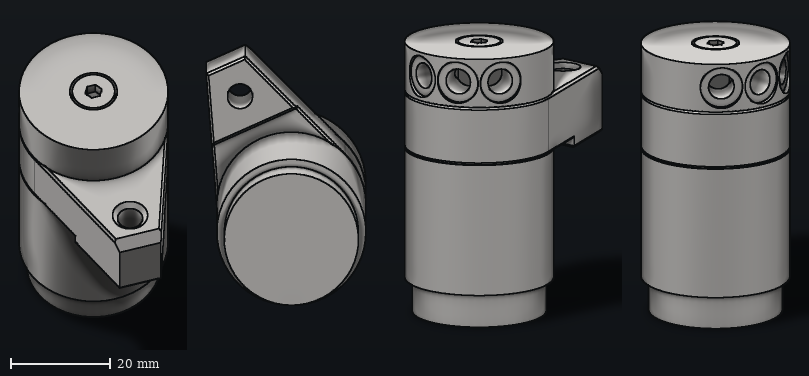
import cadquery as cq
import math

outer_radius = 15.0
spigot_radius = 13.5
spigot_height = 7.0
barrel_height = 27.0
arm_thickness = 12.0
cap_height = 10.0

barrel_bottom = spigot_height
arm_bottom = barrel_bottom + barrel_height
cap_bottom = arm_bottom + arm_thickness
cap_top = cap_bottom + cap_height

arm_reach = 32.0
taper_angle = 20
edge_chamfer = 0.5
end_chamfer = 2.0
lug_start = 18.0
lug_drop = 2.0
arm_hole_x = 25.0
arm_hole_radius = 2.5
countersink_radius = 3.5
countersink_angle = 90

middle_port_angle = 205
port_spacing = 35
port_count = 3
port_radius = 2.6
port_inner_end = 7.0
seat_radius = 4.25
seat_distance = 14

head_radius = 4.25
head_height = 3.5
head_recess_radius = 4.75
shank_radius = 2.5
shank_length = 30.0
hex_flats = 3.0
hex_depth = 2.25
hex_turn = 30

head_bottom = cap_top - head_height
shank_bottom = head_bottom - shank_length


def cylinder(radius, bottom, top):
    """Upright cylinder on the Z axis."""
    return cq.Workplane("XY").workplane(offset=bottom).circle(radius).extrude(top - bottom)


def cut_for_shank(body):
    """Bore the body to fit the screw shank."""
    return body.cut(cylinder(shank_radius, shank_bottom, head_bottom))


def make_base():
    """Barrel with a narrower spigot below it."""
    spigot = cylinder(spigot_radius, 0, barrel_bottom)
    barrel = cylinder(outer_radius, barrel_bottom, arm_bottom)
    return cut_for_shank(spigot.union(barrel))


def arm_blank(bottom, top):
    """Teardrop plate: a round end whose tangents taper to a flat end."""
    taper = math.radians(taper_angle)
    tangent_x = outer_radius * math.sin(taper)
    tangent_y = outer_radius * math.cos(taper)
    end_half_width = tangent_y - (arm_reach - tangent_x) * math.tan(taper)
    return (
        cq.Workplane("XY")
        .workplane(offset=bottom)
        .moveTo(arm_reach, -end_half_width)
        .lineTo(arm_reach, end_half_width)
        .lineTo(tangent_x, tangent_y)
        .threePointArc((-outer_radius, 0), (tangent_x, -tangent_y))
        .close()
        .extrude(top - bottom)
    )


def make_lug():
    """Foot under the outer part of the arm, chamfered around its underside.

    It reaches up inside the plate to the foot of the end bevel.
    """
    lug_bottom = arm_bottom - lug_drop
    lug_top = cap_bottom - end_chamfer
    outer_part = (
        cq.Workplane("XY")
        .workplane(offset=lug_bottom)
        .center((lug_start + arm_reach) / 2, 0)
        .rect(arm_reach - lug_start, 2 * outer_radius)
        .extrude(lug_top - lug_bottom)
    )
    lug = arm_blank(lug_bottom, lug_top).intersect(outer_part)
    return lug.faces("<Z").edges().chamfer(edge_chamfer)


def make_arm():
    """Tapered arm with a lug, a bevelled end and a countersunk hole."""
    plate = arm_blank(arm_bottom, cap_bottom)
    plate = plate.faces("<Z or >Z").edges().chamfer(edge_chamfer)
    end_bevel = (
        cq.Workplane("XZ")
        .moveTo(arm_reach, cap_bottom)
        .lineTo(arm_reach - end_chamfer, cap_bottom)
        .lineTo(arm_reach, cap_bottom - end_chamfer)
        .close()
        .extrude(outer_radius, both=True)
    )
    arm = plate.union(make_lug()).cut(end_bevel)
    arm = (
        arm.faces(">Z")
        .workplane(origin=(arm_hole_x, 0, cap_bottom))
        .cskHole(2 * arm_hole_radius, 2 * countersink_radius, countersink_angle)
    )
    return cut_for_shank(arm)


def make_port(angle):
    """Cutter for one radial port: a blind bore with a flat seat at its mouth."""
    bore_depth = outer_radius - port_inner_end
    seat_depth = outer_radius - seat_distance
    along_x = cq.Workplane("YZ", origin=(0, 0, cap_bottom + cap_height / 2))
    bore = along_x.workplane(offset=port_inner_end).circle(port_radius).extrude(bore_depth)
    seat = along_x.workplane(offset=seat_distance).circle(seat_radius).extrude(seat_depth)
    return bore.union(seat).rotate((0, 0, 0), (0, 0, 1), angle)


def make_cap():
    """Round cap with radial ports and a recess for the screw head."""
    cap = cylinder(outer_radius, cap_bottom, cap_top)
    for index in range(port_count):
        steps_from_middle = index - (port_count - 1) / 2
        cap = cap.cut(make_port(middle_port_angle + steps_from_middle * port_spacing))
    cap = cap.cut(cylinder(head_recess_radius, head_bottom, cap_top))
    return cut_for_shank(cap)


def make_screw():
    """Cap screw, flush with the cap, with a hexagon socket."""
    head = cylinder(head_radius, head_bottom, cap_top)
    shank = cylinder(shank_radius, shank_bottom, head_bottom)
    hex_across_corners = hex_flats / math.cos(math.pi / 6)
    socket = (
        cq.Workplane("XY")
        .workplane(offset=cap_top - hex_depth)
        .polygon(6, hex_across_corners)
        .extrude(hex_depth)
        .rotate((0, 0, 0), (0, 0, 1), hex_turn)
    )
    return head.union(shank).cut(socket)


base = make_base()
arm = make_arm()
cap = make_cap()
screw = make_screw()

result = cq.Compound.makeCompound([
    base.solids().val(),
    arm.solids().val(),
    cap.solids().val(),
    screw.solids().val(),
])